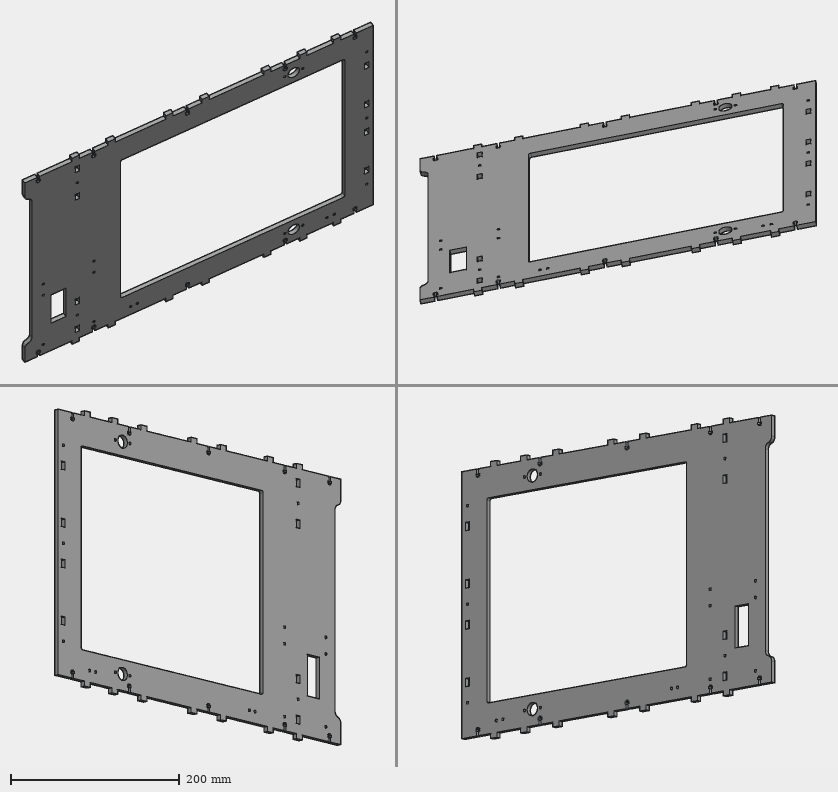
import cadquery as cq


thickness = 6.0
length = 483.0
overall_height = 337.2
tab_height = thickness
body_height = overall_height - 2 * tab_height
half_body = body_height / 2

recess_depth = 10.0
recess_half_height = 123.0
s_curve_height = 14.0

tab_width = 10.0
tab_offset = 25.0
end_slot_positions = [25.0, 464.0]
joint_slot_positions = [121.8, 257.3, 387.4]
first_tab_position = end_slot_positions[0] + tab_offset
slot_positions = end_slot_positions + joint_slot_positions
tab_positions = [first_tab_position]
for joint in joint_slot_positions:
    tab_positions += [joint - tab_offset, joint + tab_offset]

screw_diameter = 3.1
slot_depth = 10.0
nut_width = 5.5
nut_thickness = 2.5
nut_top_depth = 6.0

window_start = 39.5
window_end = 350.2
window_height = 249.6
window_corner_radius = 2.5

mortise_width = thickness
mortise_height = tab_width
outer_joint_height = 120.0
near_column = 9.0
far_column = 410.0
mortise_points = []
for side in (1, -1):
    inner_mortise = side * (outer_joint_height - tab_offset)
    outer_mortise = side * (outer_joint_height + tab_offset)
    mortise_points += [(near_column, side * tab_offset), (near_column, inner_mortise)]
    mortise_points += [(far_column, inner_mortise), (far_column, outer_mortise)]
column_holes = [(near_column, 0.0)]
for column in (near_column, far_column):
    column_holes += [(column, outer_joint_height), (column, -outer_joint_height)]

rod_diameter = 15.9
rod_position = 110.2
rod_height = 142.2
rod_screw_offset = 12.4

display_start = 426.0
display_end = 446.5
display_top = -62.0
display_bottom = -113.0
board_hole_columns = [387.0, 457.4]
board_hole_heights = [-35.7, -56.0, -145.3]

lower_row_height = -148.1
lower_row_positions = [54.0, 64.2, 326.8, 336.3]


def y_at(along):
    """Y coordinate of a distance measured from the +Y end."""
    return length / 2 - along


def block(along, height, width, tall):
    """Full-thickness block centred at a place on the panel."""
    return cq.Workplane("XY").box(thickness, width, tall).translate((0, y_at(along), height))


def cylinders(points, diameter):
    """Full-thickness cylinders centred at places on the panel."""
    places = [(y_at(along), height) for along, height in points]
    plane = cq.Workplane("YZ", origin=(-thickness / 2, 0, 0))
    return plane.pushPoints(places).circle(diameter / 2).extrude(thickness)


def make_body():
    """Plate with a recessed -Y end; each S-curve is two equal tangent arcs."""
    tip = -length / 2
    recess = tip + recess_depth
    horn_start = recess_half_height + s_curve_height
    middle = (tip + recess_depth / 2, recess_half_height + s_curve_height / 2)
    return (
        cq.Workplane("YZ", origin=(-thickness / 2, 0, 0))
        .moveTo(length / 2, half_body)
        .lineTo(tip, half_body)
        .lineTo(tip, horn_start)
        .tangentArcPoint(middle, relative=False)
        .tangentArcPoint((recess, recess_half_height), relative=False)
        .lineTo(recess, -recess_half_height)
        .tangentArcPoint((middle[0], -middle[1]), relative=False)
        .tangentArcPoint((tip, -horn_start), relative=False)
        .lineTo(tip, -half_body)
        .lineTo(length / 2, -half_body)
        .close()
        .extrude(thickness)
    )


def add_tabs(plate):
    """Tabs standing out from the upper and lower edges."""
    for along in tab_positions:
        plate = plate.union(block(along, 0, tab_width, overall_height))
    return plate


def cut_t_slots(plate):
    """Screw slots with a crosswise nut pocket, in from both long edges."""
    for along in slot_positions:
        for side in (1, -1):
            stem_height = side * (half_body - slot_depth / 2)
            nut_height = side * (half_body - nut_top_depth - nut_thickness / 2)
            plate = plate.cut(block(along, stem_height, screw_diameter, slot_depth))
            plate = plate.cut(block(along, nut_height, nut_width, nut_thickness))
    return plate


def cut_openings(plate):
    """Main window, display opening and mortises."""
    window = block((window_start + window_end) / 2, 0, window_end - window_start, window_height)
    plate = plate.cut(window.edges("|X").fillet(window_corner_radius))
    display = block(
        (display_start + display_end) / 2,
        (display_top + display_bottom) / 2,
        display_end - display_start,
        display_top - display_bottom,
    )
    plate = plate.cut(display)
    for along, height in mortise_points:
        plate = plate.cut(block(along, height, mortise_width, mortise_height))
    return plate


def cut_round_holes(plate):
    """Rod holes and all screw holes."""
    rod_points = [(rod_position, rod_height), (rod_position, -rod_height)]
    screw_points = list(column_holes)
    for along, height in rod_points:
        screw_points += [(along - rod_screw_offset, height), (along + rod_screw_offset, height)]
    screw_points += [(along, height) for along in board_hole_columns for height in board_hole_heights]
    screw_points += [(along, lower_row_height) for along in lower_row_positions]
    plate = plate.cut(cylinders(rod_points, rod_diameter))
    return plate.cut(cylinders(screw_points, screw_diameter))


panel = add_tabs(make_body())
panel = cut_t_slots(panel)
panel = cut_openings(panel)
result = cut_round_holes(panel)